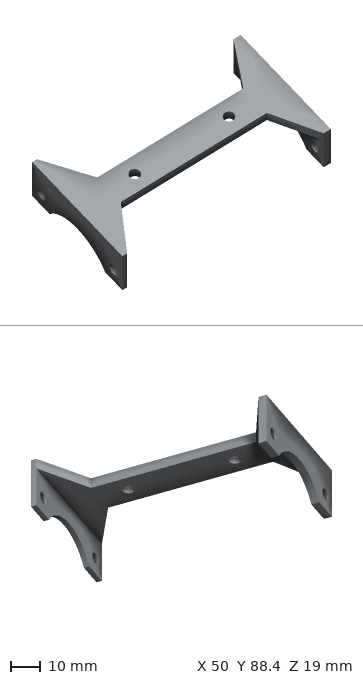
import cadquery as cq

width = 50.0
length = 88.4
height = 19.0

plate_thickness = 4.0
web_half_width = 6.5
web_back_y = 31.2
web_front_y = -30.8

back_wall = 3.0
front_wall = 2.0

hole_diameter = 4.2
hole_half_spacing = 20.0
web_holes_center_y = 0.2
wall_hole_height = 6.0

arch_half_chord = 15.4
arch_rise = 8.05

half_width = width / 2
half_length = length / 2


def make_plate():
    right_side = [
        (half_width, -half_length),
        (half_width, -half_length + front_wall),
        (web_half_width, web_front_y),
        (web_half_width, web_back_y),
        (half_width, half_length - back_wall),
        (half_width, half_length),
    ]
    left_side = [(-x, y) for x, y in reversed(right_side)]
    return (
        cq.Workplane("XY")
        .workplane(offset=height - plate_thickness)
        .polyline(right_side + left_side)
        .close()
        .extrude(plate_thickness)
    )


def make_wall(outer_y, inner_y):
    return cq.Workplane("XY").box(
        width, abs(outer_y - inner_y), height, centered=(True, True, False)
    ).translate((0, (outer_y + inner_y) / 2, 0))


def make_arch_cutter():
    return (
        cq.Workplane("XZ")
        .moveTo(-arch_half_chord, 0)
        .threePointArc((0, arch_rise), (arch_half_chord, 0))
        .close()
        .extrude(half_length, both=True)
    )


def make_hole_cutters():
    wall_holes = (
        cq.Workplane("XZ")
        .pushPoints([(side * hole_half_spacing, wall_hole_height) for side in (-1, 1)])
        .circle(hole_diameter / 2)
        .extrude(half_length, both=True)
    )
    web_holes = (
        cq.Workplane("XY")
        .pushPoints([(0, web_holes_center_y + side * hole_half_spacing) for side in (-1, 1)])
        .circle(hole_diameter / 2)
        .extrude(height)
    )
    return wall_holes.union(web_holes)


result = (
    make_plate()
    .union(make_wall(half_length, half_length - back_wall))
    .union(make_wall(-half_length, -half_length + front_wall))
    .cut(make_arch_cutter())
    .cut(make_hole_cutters())
)